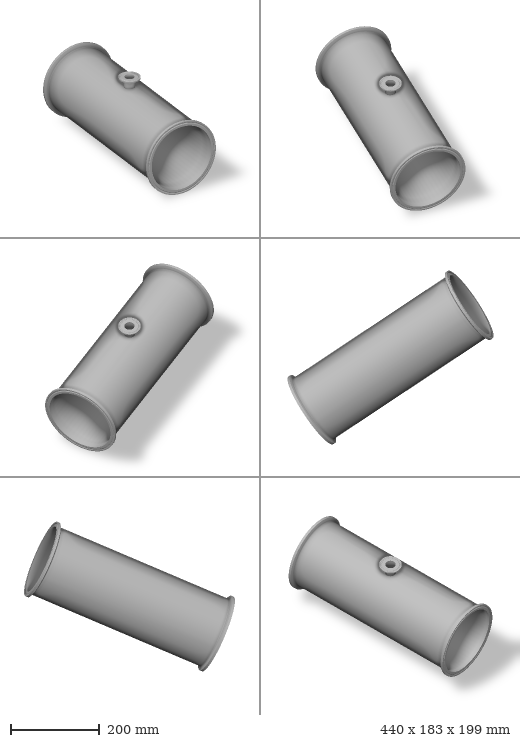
import cadquery as cq
import math

LENGTH = 440.0
TUBE_OUTER_D = 165.0
TUBE_BORE_D = 159.5
END_FLANGE_D = 183.0
END_RIM_THICKNESS = 5.5
END_NECK_FILLET = 2.0
END_GROOVE_D = 173.5
END_GROOVE_WIDTH = 3.0

PORT_TOP_Z = 107.5
PORT_OUTER_D = 25.5
PORT_BORE_D = 23.0
PORT_FLANGE_D = 50.5
PORT_RIM_THICKNESS = 3.0
PORT_NECK_FILLET = 1.5
PORT_GROOVE_D = 43.0
PORT_GROOVE_WIDTH = 3.5

CLAMP_TAPER_DEG = 20.0
GROOVE_DEPTH = 1.5
GROOVE_LIP_FILLET = 0.65
EDGE_SEARCH_MARGIN = 0.05


def ferrule(flange_d, neck_d, rim_thickness, neck_fillet, groove_d, groove_width, length):
    """Solid neck with a clamp flange, face at z = 0 and neck running towards -Z."""
    flange_r = flange_d / 2
    neck_r = neck_d / 2
    taper_height = (flange_r - neck_r) * math.tan(math.radians(CLAMP_TAPER_DEG))
    neck_top = -(rim_thickness + taper_height)

    body = (
        cq.Workplane("XZ")
        .moveTo(0, 0)
        .lineTo(flange_r, 0)
        .lineTo(flange_r, -rim_thickness)
        .lineTo(neck_r, neck_top)
        .lineTo(neck_r, -length)
        .lineTo(0, -length)
        .close()
        .revolve(360, (0, 0, 0), (0, 1, 0))
    )
    neck_corner = cq.selectors.BoxSelector(
        (-flange_r, -flange_r, neck_top - EDGE_SEARCH_MARGIN),
        (flange_r, flange_r, neck_top + EDGE_SEARCH_MARGIN),
        boundingbox=True,
    )
    body = body.edges(neck_corner).fillet(neck_fillet)

    groove_r = groove_d / 2
    groove = (
        cq.Workplane("XZ")
        .moveTo(groove_r - groove_width / 2, 0)
        .threePointArc((groove_r, -GROOVE_DEPTH), (groove_r + groove_width / 2, 0))
        .close()
        .revolve(360, (0, 0, 0), (0, 1, 0))
    )
    body = body.cut(groove)
    lip_radii = (groove_r - groove_width / 2, groove_r + groove_width / 2)
    lips = [
        edge
        for edge in body.faces(">Z").edges().vals()
        if any(abs(edge.radius() - lip_r) < EDGE_SEARCH_MARGIN for lip_r in lip_radii)
    ]
    return body.newObject(lips).fillet(GROOVE_LIP_FILLET)


half_tube = (
    ferrule(
        END_FLANGE_D,
        TUBE_OUTER_D,
        END_RIM_THICKNESS,
        END_NECK_FILLET,
        END_GROOVE_D,
        END_GROOVE_WIDTH,
        LENGTH / 2,
    )
    .rotate((0, 0, 0), (0, 1, 0), 90)
    .translate((LENGTH / 2, 0, 0))
)
tube = half_tube.union(half_tube.rotate((0, 0, 0), (0, 0, 1), 180)).clean()

port = ferrule(
    PORT_FLANGE_D,
    PORT_OUTER_D,
    PORT_RIM_THICKNESS,
    PORT_NECK_FILLET,
    PORT_GROOVE_D,
    PORT_GROOVE_WIDTH,
    PORT_TOP_Z,
).translate((0, 0, PORT_TOP_Z))

tube_bore = cq.Workplane("YZ", origin=(-LENGTH / 2, 0, 0)).circle(TUBE_BORE_D / 2).extrude(LENGTH)
port_bore = cq.Workplane("XY").circle(PORT_BORE_D / 2).extrude(PORT_TOP_Z)

result = tube.union(port).cut(tube_bore).cut(port_bore)